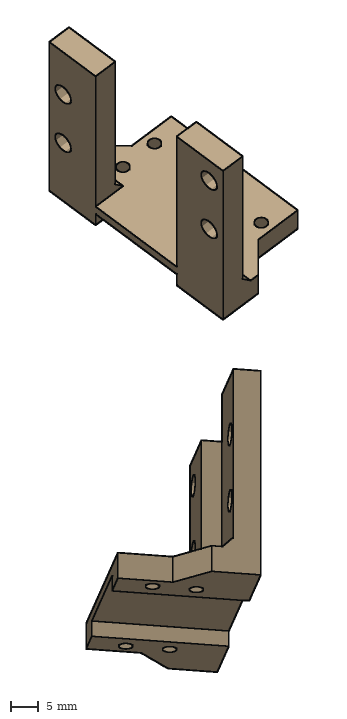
import cadquery as cq

width = 44.0
depth = 25.0
height = 40.0

base_thickness = 5.0
shoulder_inset = 6.0
shoulder_front = 8.98
shoulder_back = shoulder_front + shoulder_inset
web_thickness = 2.02

arm_width = 11.75
arm_thickness = 5.0
brace_size = 2.0
channel_width = width - 2 * arm_width

base_hole_diameter = 2.5
base_hole_spacing_x = 27.0
base_hole_spacing_y = 8.0
base_hole_front = 10.2

arm_hole_diameter = 4.0
arm_hole_edge = 3.5
arm_hole_spacing = 13.0
left_hole_height = 15.65
right_hole_height = left_hole_height + 6.0


def make_base():
    """Plate with sloped shoulders that narrow it towards the back."""
    half_front = width / 2
    half_back = half_front - shoulder_inset
    outline = [
        (-half_front, 0),
        (half_front, 0),
        (half_front, shoulder_front),
        (half_back, shoulder_back),
        (half_back, depth),
        (-half_back, depth),
        (-half_back, shoulder_back),
        (-half_front, shoulder_front),
    ]
    return cq.Workplane("XY").polyline(outline).close().extrude(base_thickness)


def make_arm(left_x):
    """Upright arm with a sloped brace where it meets the base."""
    profile = [
        (0, 0),
        (arm_thickness + brace_size, 0),
        (arm_thickness + brace_size, base_thickness),
        (arm_thickness, base_thickness + brace_size),
        (arm_thickness, height),
        (0, height),
    ]
    arm = cq.Workplane("YZ").polyline(profile).close().extrude(arm_width)
    return arm.translate((left_x, 0, 0))


def make_arm_holes(x, lowest_z):
    """Pair of cylinders, one above the other, that cross an arm."""
    centres = [(x, lowest_z), (x, lowest_z + arm_hole_spacing)]
    return (
        cq.Workplane("XZ")
        .pushPoints(centres)
        .circle(arm_hole_diameter / 2)
        .extrude(-arm_thickness - brace_size)
    )


result = make_base()
for arm_left_x in (-width / 2, width / 2 - arm_width):
    result = result.union(make_arm(arm_left_x))

channel = cq.Workplane("XY").box(
    channel_width, depth, base_thickness - web_thickness, centered=(True, False, False)
)
result = result.cut(channel)

base_holes = (
    cq.Workplane("XY")
    .center(0, base_hole_front + base_hole_spacing_y / 2)
    .rarray(base_hole_spacing_x, base_hole_spacing_y, 2, 2)
    .circle(base_hole_diameter / 2)
    .extrude(base_thickness)
)
result = result.cut(base_holes)

arm_hole_x = width / 2 - arm_hole_edge
result = result.cut(make_arm_holes(-arm_hole_x, left_hole_height))
result = result.cut(make_arm_holes(arm_hole_x, right_hole_height))